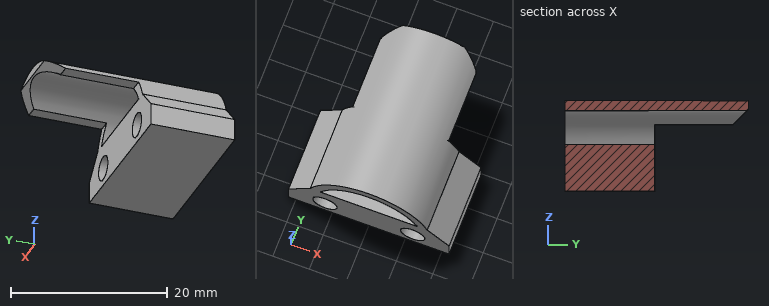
import cadquery as cq
import math

base_width = 22.0
base_length = 11.5
side_height = 3.0
shoulder_height = 6.0
shoulder_half_width = 8.0

arch_radius = 8.5
wall_thickness = 1.315
bore_radius = arch_radius - wall_thickness
arch_center_z = shoulder_height - math.sqrt(arch_radius**2 - shoulder_half_width**2)
arch_top_z = arch_center_z + arch_radius

total_length = 23.5
tongue_bottom_z = 8.5
tip_chamfer = 2.0

hole_diameter = 3.3
hole_spacing = 12.0
hole_height = 2.5


def extrude_along_y(profile, length):
    """Extrude an XZ profile from the front face (Y = 0) toward +Y."""
    return profile.extrude(-length)


def segment_above(radius, floor_z, length):
    """Solid circular segment of the arch axis, cut flat at floor_z."""
    half_chord = math.sqrt(radius**2 - (floor_z - arch_center_z)**2)
    profile = (
        cq.Workplane("XZ")
        .moveTo(-half_chord, floor_z)
        .threePointArc((0, arch_center_z + radius), (half_chord, floor_z))
        .close()
    )
    return extrude_along_y(profile, length)


def make_base():
    """Block with sloped shoulders and a rounded crown."""
    half_width = base_width / 2
    profile = (
        cq.Workplane("XZ")
        .moveTo(-half_width, 0)
        .lineTo(half_width, 0)
        .lineTo(half_width, side_height)
        .lineTo(shoulder_half_width, shoulder_height)
        .threePointArc((0, arch_top_z), (-shoulder_half_width, shoulder_height))
        .lineTo(-half_width, side_height)
        .close()
    )
    return extrude_along_y(profile, base_length)


def make_tip_cutter():
    """Wedge that bevels the underside of the tongue at its free end."""
    return (
        cq.Workplane("YZ")
        .moveTo(total_length - tip_chamfer, tongue_bottom_z)
        .lineTo(total_length, tongue_bottom_z)
        .lineTo(total_length, tongue_bottom_z + tip_chamfer)
        .close()
        .extrude(arch_radius, both=True)
    )


def make_mounting_holes():
    """Pair of holes running the full length of the base."""
    half_spacing = hole_spacing / 2
    profile = (
        cq.Workplane("XZ")
        .pushPoints([(-half_spacing, hole_height), (half_spacing, hole_height)])
        .circle(hole_diameter / 2)
    )
    return extrude_along_y(profile, base_length)


tongue = segment_above(arch_radius, tongue_bottom_z, total_length).cut(make_tip_cutter())
bore = segment_above(bore_radius, shoulder_height, total_length)

result = make_base().union(tongue).cut(bore).cut(make_mounting_holes())